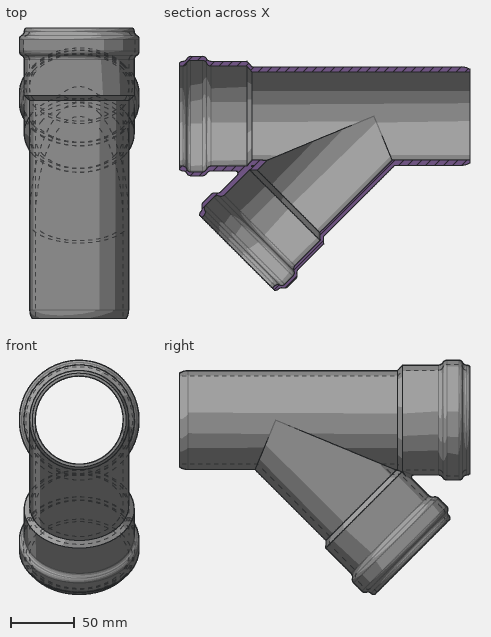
import cadquery as cq
import math

pipe_radius = 78.0 / 2
bore_radius = 69.0 / 2
body_radius = 86.6 / 2
socket_bore_radius = 78.5 / 2
bead_radius = 94.5 / 2
groove_radius = 87.5 / 2

lip_length = 2.7
lip_drop = 1.4
bead_front = 9.0
bead_back = 18.0
bead_end = 25.0
shoulder_start = 53.0
shoulder_end = 57.2

overall_length = 228.5
run_mouth = 153.0
spigot_end = run_mouth - overall_length
spigot_round_length = 6.9
spigot_round_drop = 2.0

branch_mouth = 152.0
branch_angle = 45.0

crotch_fillet = 1.5
crotch_y = body_radius / math.tan(math.radians(branch_angle / 2))


def s_curve(profile, start, end):
    """Join two (radius, y) points by two tangent arcs, parallel to the axis at both ends."""
    start_radius, start_y = start
    end_radius, end_y = end
    middle = ((start_radius + end_radius) / 2, (start_y + end_y) / 2)
    profile = profile.tangentArcPoint(middle, relative=False)
    return profile.tangentArcPoint(end, relative=False)


def revolve_about_y(profile):
    return profile.close().revolve(360, (0, 0, 0), (0, 1, 0))


def square_tail():
    """Start a branch profile with a flat end where the pipe axes cross."""
    return cq.Workplane("XY").lineTo(pipe_radius, 0)


def spigot_tail():
    """Start the run profile with a spigot drawn in by an arc tangent to the pipe wall."""
    arc_start = (pipe_radius, spigot_end + spigot_round_length)
    tip = (pipe_radius - spigot_round_drop, spigot_end)
    arc_radius = (spigot_round_length**2 + spigot_round_drop**2) / (2 * spigot_round_drop)
    profile = cq.Workplane("XY").moveTo(0, spigot_end).lineTo(*tip)
    return profile.radiusArc(arc_start, -arc_radius)


def socket_pipe_outside(profile, mouth):
    """Solid envelope of a pipe from its started tail profile to a beaded socket at y = mouth."""
    lip_end = (body_radius, mouth - lip_length)
    bead_start = (bead_radius, mouth - bead_front)
    bead_finish = (bead_radius, mouth - bead_back)
    body_start = (body_radius, mouth - bead_end)

    profile = profile.lineTo(pipe_radius, mouth - shoulder_end)
    profile = profile.lineTo(body_radius, mouth - shoulder_start).lineTo(*body_start)
    profile = s_curve(profile, body_start, bead_finish).lineTo(*bead_start)
    profile = s_curve(profile, bead_start, lip_end)
    profile = profile.tangentArcPoint((body_radius - lip_drop, mouth), relative=False)
    return revolve_about_y(profile.lineTo(0, mouth))


def socket_pipe_inside(mouth, tail):
    """Bore with the wider socket and the seal groove that follows the bead."""
    lip_end = (socket_bore_radius, mouth - lip_length)
    groove_start = (groove_radius, mouth - bead_front)
    groove_finish = (groove_radius, mouth - bead_back)
    groove_end = (socket_bore_radius, mouth - bead_end)

    profile = cq.Workplane("XY").moveTo(0, tail).lineTo(bore_radius, tail)
    profile = profile.lineTo(bore_radius, mouth - shoulder_end)
    profile = profile.lineTo(socket_bore_radius, mouth - shoulder_start).lineTo(*groove_end)
    profile = s_curve(profile, groove_end, groove_finish).lineTo(*groove_start)
    profile = s_curve(profile, groove_start, lip_end)
    profile = profile.lineTo(socket_bore_radius, mouth)
    return revolve_about_y(profile.lineTo(0, mouth))


def tilt_to_branch(shape):
    """Swing a shape lying along +Y downwards about the crossing of the axes."""
    return shape.rotate((0, 0, 0), (1, 0, 0), -branch_angle)


run_outside = socket_pipe_outside(spigot_tail(), run_mouth)
branch_outside = tilt_to_branch(socket_pipe_outside(square_tail(), branch_mouth))
run_inside = socket_pipe_inside(run_mouth, spigot_end)
branch_inside = tilt_to_branch(socket_pipe_inside(branch_mouth, 0))

crotch = (0, crotch_y, -body_radius)
envelope = run_outside.union(branch_outside)
envelope = envelope.edges(cq.NearestToPointSelector(crotch)).fillet(crotch_fillet)

result = envelope.cut(run_inside).cut(branch_inside)